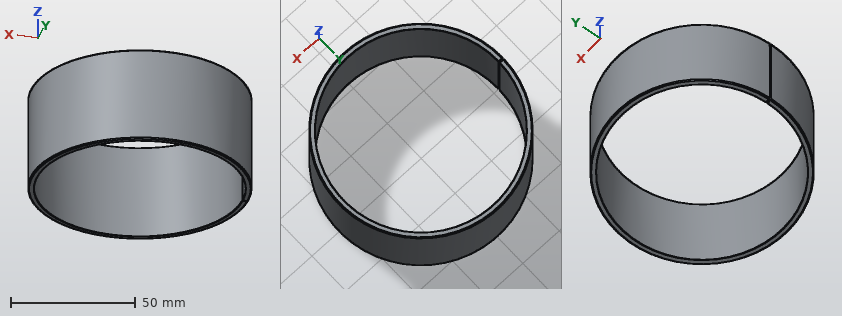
import cadquery as cq

outer_diameter = 90.0
wall = 2.5
length = 40.0
outer_chamfer = 0.5
inner_chamfer = 0.2
gap_angle = 1.0

outer_radius = outer_diameter / 2
inner_radius = outer_radius - wall


def rolled_strip():
    """Wall section on the -X side, revolved to a ring left open on the +Y side of the start."""
    half = length / 2
    section = [
        (-inner_radius, -half + inner_chamfer),
        (-inner_radius - inner_chamfer, -half),
        (-outer_radius + outer_chamfer, -half),
        (-outer_radius, -half + outer_chamfer),
        (-outer_radius, half - outer_chamfer),
        (-outer_radius + outer_chamfer, half),
        (-inner_radius - inner_chamfer, half),
        (-inner_radius, half - inner_chamfer),
    ]
    profile = cq.Workplane("XZ").polyline(section).close()
    return profile.revolve(360 - gap_angle, (0, 0), (0, 1))


result = rolled_strip()